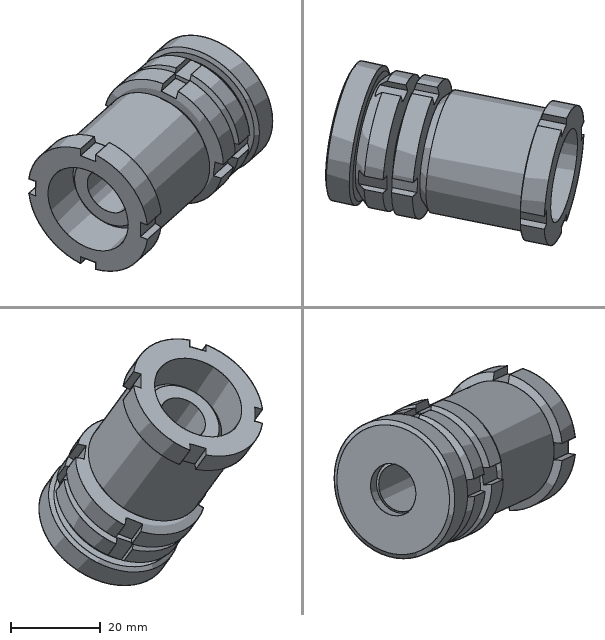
import cadquery as cq
import math

collar_radius = 16.0
slot_floor_radius = 14.0
slot_width = 4.0
slot_count = 4
edge_bevel = 0.5
thread_radius = 10.05
bore_radius = 5.5

sleeve_radius = 14.05
sleeve_length = 30.1
flange_length = 6.1
sleeve_chamfer = 2.05
counterbore_radius = 10.7
counterbore_floor = 10.75

ring_front = sleeve_length
ring_rear = 36.0
ring_turn = 7.0

shank_front = 8.0
shank_end_chamfer = 1.2
neck_radius = 9.2
neck_front = 36.45
head_front = 37.15
head_radius = 15.65
head_turn = 3.0
crown_start = 42.0
ball_radius = 20.0
ball_center = crown_start - math.sqrt(ball_radius**2 - head_radius**2)

plate_front = 44.7
plate_thickness = 6.35
plate_bevel_radius = 14.9
plate_hole_radius = 6.0
tilt_about_x = 0.35
tilt_about_z = -0.6


def turn_about_y(profile):
    """Turn a closed half profile, drawn as (radius, Y), a full circle about the Y axis."""
    return profile.revolve(360, (0, 0, 0), (0, 1, 0))


def slot_cutters(start, end, turn):
    """Evenly spaced blocks that cut flat-bottomed wrench slots."""
    depth = 2 * (collar_radius - slot_floor_radius)
    cutters = cq.Workplane("XY")
    for index in range(slot_count):
        block = (
            cq.Workplane("XY")
            .box(slot_width, end - start, depth, centered=(True, False, False))
            .translate((0, start, slot_floor_radius))
            .rotate((0, 0, 0), (0, 1, 0), turn + 360 / slot_count * index)
        )
        cutters = cutters.add(block)
    return cutters.combine()


def make_sleeve():
    """Flanged sleeve, counterbored at the front, with a hole for the shank."""
    body = turn_about_y(
        cq.Workplane("XY")
        .moveTo(thread_radius, counterbore_floor)
        .lineTo(counterbore_radius, counterbore_floor)
        .lineTo(counterbore_radius, 0)
        .lineTo(collar_radius, 0)
        .lineTo(collar_radius, flange_length - edge_bevel)
        .lineTo(sleeve_radius, flange_length)
        .lineTo(sleeve_radius, sleeve_length - sleeve_chamfer)
        .lineTo(sleeve_radius - sleeve_chamfer, sleeve_length)
        .lineTo(thread_radius, sleeve_length)
        .close()
    )
    return body.cut(slot_cutters(0, flange_length, 0))


def make_lock_ring():
    """Slotted ring, bevelled on both edges."""
    body = turn_about_y(
        cq.Workplane("XY")
        .moveTo(thread_radius, ring_front)
        .lineTo(slot_floor_radius, ring_front)
        .lineTo(collar_radius, ring_front + edge_bevel)
        .lineTo(collar_radius, ring_rear - edge_bevel)
        .lineTo(slot_floor_radius, ring_rear)
        .lineTo(thread_radius, ring_rear)
        .close()
    )
    return body.cut(slot_cutters(ring_front, ring_rear, ring_turn))


def make_ball_head():
    """Bored shank and slotted head that ends in a spherical crown."""
    thread_runout = neck_front - (thread_radius - neck_radius)
    crown_end = ball_center + math.sqrt(ball_radius**2 - bore_radius**2)
    mid_radius = (head_radius + bore_radius) / 2
    crown_middle = ball_center + math.sqrt(ball_radius**2 - mid_radius**2)
    body = turn_about_y(
        cq.Workplane("XY")
        .moveTo(bore_radius, shank_front)
        .lineTo(thread_radius - shank_end_chamfer, shank_front)
        .lineTo(thread_radius, shank_front + shank_end_chamfer)
        .lineTo(thread_radius, thread_runout)
        .lineTo(neck_radius, neck_front)
        .lineTo(neck_radius, head_front)
        .lineTo(slot_floor_radius, head_front)
        .lineTo(head_radius, head_front + edge_bevel)
        .lineTo(head_radius, crown_start)
        .threePointArc((mid_radius, crown_middle), (bore_radius, crown_end))
        .close()
    )
    return body.cut(slot_cutters(head_front, crown_end, head_turn))


def make_tilting_plate():
    """Bevelled disc with a spherical seat, swivelled slightly on the ball."""
    plate_rear = plate_front + plate_thickness
    disc = turn_about_y(
        cq.Workplane("XY")
        .moveTo(plate_hole_radius, plate_front)
        .lineTo(plate_bevel_radius, plate_front)
        .lineTo(collar_radius, plate_front + edge_bevel)
        .lineTo(collar_radius, plate_rear - edge_bevel)
        .lineTo(plate_bevel_radius, plate_rear)
        .lineTo(plate_hole_radius, plate_rear)
        .close()
    )
    ball = cq.Workplane("XY").sphere(ball_radius).translate((0, ball_center, 0))
    pivot = cq.Vector(0, ball_center, 0)
    return (
        disc.cut(ball)
        .rotate(pivot, pivot + cq.Vector(0.5, 0, 0), tilt_about_x)
        .rotate(pivot, pivot + cq.Vector(0, 0, 0.5), tilt_about_z)
    )


sleeve = make_sleeve()
lock_ring = make_lock_ring()
ball_head = make_ball_head()
tilting_plate = make_tilting_plate()

result = cq.Compound.makeCompound(
    [sleeve.val(), lock_ring.val(), ball_head.val(), tilting_plate.val()]
)